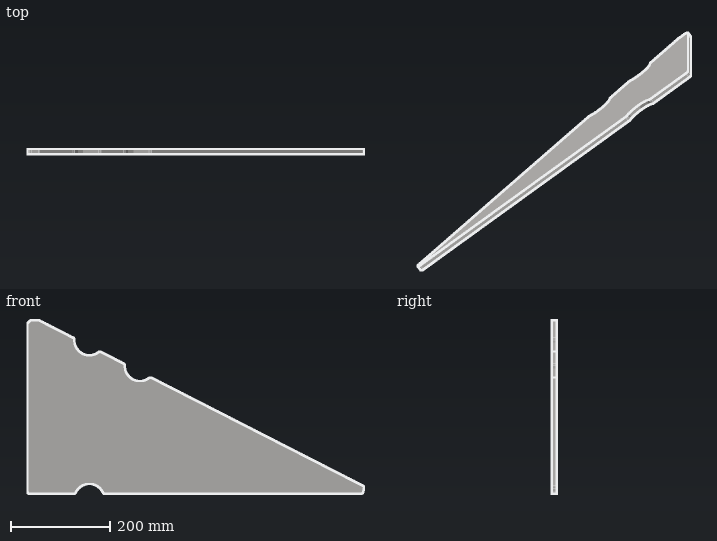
import cadquery as cq
import math

length = 678.65
height = 350.0
thickness = 11.0
corner_chamfer = 6.2
corner_radius = 5.0

top_edge_length = 23.5
slope_angle = math.radians(27.06)

notch_radius = 30.0
notch_setback = 10.0
first_notch_x = 125.0
slope_notch_spacing = 114.2
slope_notch_count = 2


def slope_z(x):
    """Height of the sloped edge at x."""
    return height - (x - top_edge_length) * math.tan(slope_angle)


def blunt_tip():
    """Lower and upper corners of the end face, which leans equally to the slope and the bottom edge.

    The upper corner is placed so that, once rounded, the panel reaches exactly to its full length.
    """
    lean = slope_angle / 2
    slope_normal = math.pi / 2 - slope_angle
    half_turn = (slope_normal + lean) / 2
    bisector = slope_normal - half_turn
    overshoot = corner_radius * (math.cos(bisector) / math.cos(half_turn) - 1)
    upper_x = length + overshoot
    upper_z = slope_z(upper_x)
    lower_x = upper_x - upper_z * math.tan(lean)
    return (lower_x, 0), (upper_x, upper_z)


def make_plate():
    tip_lower, tip_upper = blunt_tip()
    outline = [
        (0, 0),
        tip_lower,
        tip_upper,
        (top_edge_length, height),
        (corner_chamfer, height),
        (0, height - corner_chamfer),
    ]
    return cq.Workplane("XZ").polyline(outline).close().extrude(-thickness)


def notch_centers():
    centers = [(first_notch_x, -notch_setback)]
    for i in range(slope_notch_count):
        x = first_notch_x + i * slope_notch_spacing * math.cos(slope_angle)
        centers.append((x, slope_z(x) + notch_setback / math.cos(slope_angle)))
    return centers


def cut_notches(plate):
    cutters = cq.Workplane("XZ").pushPoints(notch_centers()).circle(notch_radius).extrude(-thickness)
    return plate.cut(cutters)


def round_corners(plate):
    return plate.edges("|Y").fillet(corner_radius)


result = round_corners(cut_notches(make_plate()))